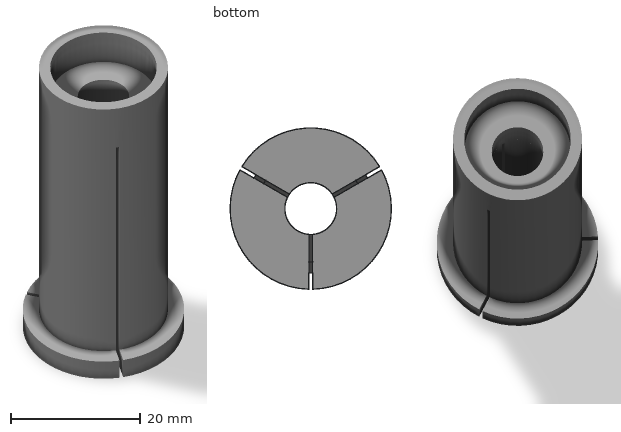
import cadquery as cq

total_height = 52.9
tube_diameter = 20.0
flange_diameter = 25.0
flange_height = 3.5

counterbore_diameter = 16.5
through_hole_diameter = 8.0
recess_depth = 6.0
insert_height = 6.0
insert_bottom = total_height - recess_depth - insert_height

slot_count = 3
slot_width = 0.6
slot_height = 44.95
first_slot_angle = 90.0


def slot_cutter(angle):
    """Radial slot from the axis outwards, open at the bottom."""
    length = flange_diameter
    slot = cq.Workplane("XY").box(length, slot_width, slot_height, centered=(False, True, False))
    return slot.rotate((0, 0, 0), (0, 0, 1), angle)


def make_sleeve():
    """Flanged tube, counterbored at the top, with evenly spaced slots from the bottom."""
    sleeve = cq.Workplane("XY").circle(tube_diameter / 2).extrude(total_height)
    flange = cq.Workplane("XY").circle(flange_diameter / 2).extrude(flange_height)
    through_hole = cq.Workplane("XY").circle(through_hole_diameter / 2).extrude(total_height)
    counterbore = cq.Workplane("XY", origin=(0, 0, insert_bottom))
    counterbore = counterbore.circle(counterbore_diameter / 2).extrude(total_height - insert_bottom)
    sleeve = sleeve.union(flange).cut(through_hole).cut(counterbore)
    for index in range(slot_count):
        sleeve = sleeve.cut(slot_cutter(first_slot_angle + index * 360 / slot_count))
    return sleeve


def make_insert():
    """Thick ring seated on the counterbore floor, short of the top of the sleeve."""
    outline = cq.Workplane("XY", origin=(0, 0, insert_bottom)).circle(counterbore_diameter / 2)
    return outline.circle(through_hole_diameter / 2).extrude(insert_height)


sleeve = make_sleeve()
insert = make_insert()

result = cq.Compound.makeCompound([sleeve.val(), insert.val()])